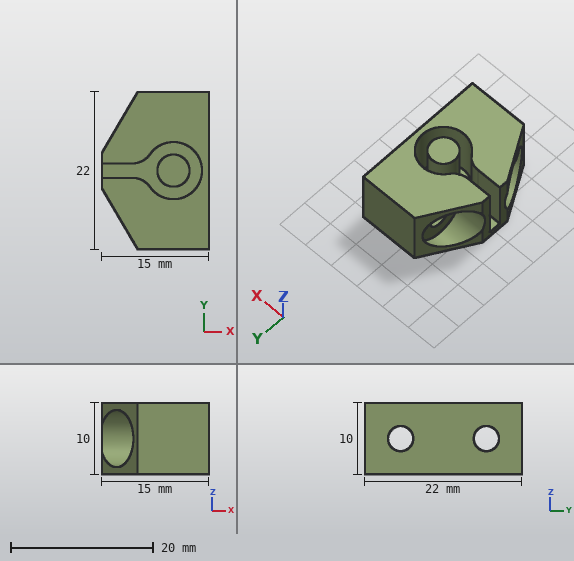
import cadquery as cq
import math

depth = 15.0
width = 22
height = 10.0
nose_width = 5.0
nose_depth = 5.0

floor_thickness = 1.0
pocket_x = 10.0
pocket_radius = 8.0 / 2
pin_diameter = 4.5
slot_width = 2.0
blend_radius = 3.0

hole_spacing = 12.0
hole_diameter = 3.5
counterbore_diameter = 8.0
counterbore_floor_x = nose_depth


def make_block():
    """Rectangular block with both front corners cut off at an angle."""
    outline = [
        (0, -nose_width / 2),
        (nose_depth, -width / 2),
        (depth, -width / 2),
        (depth, width / 2),
        (nose_depth, width / 2),
        (0, nose_width / 2),
    ]
    return cq.Workplane("XY").polyline(outline).close().extrude(height)


def make_keyhole():
    """Slot blended into a round pocket by arcs tangent to both, less the pin."""
    half_slot = slot_width / 2
    center_distance = pocket_radius + blend_radius
    blend_y = half_slot + blend_radius
    blend_x = pocket_x - math.sqrt(center_distance**2 - blend_y**2)

    slope = math.atan2(blend_y, pocket_x - blend_x)
    tangent_x = pocket_x - pocket_radius * math.cos(slope)
    tangent_y = pocket_radius * math.sin(slope)

    middle_angle = (-math.pi / 2 - slope) / 2
    middle_x = blend_x + blend_radius * math.cos(middle_angle)
    middle_y = blend_y + blend_radius * math.sin(middle_angle)

    recess_height = height - floor_thickness
    plane = cq.Workplane("XY").workplane(offset=floor_thickness)
    recess = (
        plane.moveTo(0, -half_slot)
        .lineTo(blend_x, -half_slot)
        .threePointArc((middle_x, -middle_y), (tangent_x, -tangent_y))
        .threePointArc((pocket_x + pocket_radius, 0), (tangent_x, tangent_y))
        .threePointArc((middle_x, middle_y), (blend_x, half_slot))
        .lineTo(0, half_slot)
        .close()
        .extrude(recess_height)
    )
    pin = plane.center(pocket_x, 0).circle(pin_diameter / 2).extrude(recess_height)
    return recess.cut(pin)


def make_screw_hole(y):
    """Through hole along X with a counterbore entering from the front."""
    plane = cq.Workplane("YZ").center(y, height / 2)
    hole = plane.circle(hole_diameter / 2).extrude(depth)
    counterbore = plane.circle(counterbore_diameter / 2).extrude(counterbore_floor_x)
    return hole.union(counterbore)


result = make_block().cut(make_keyhole())
for side in (-1, 1):
    result = result.cut(make_screw_hole(side * hole_spacing / 2))